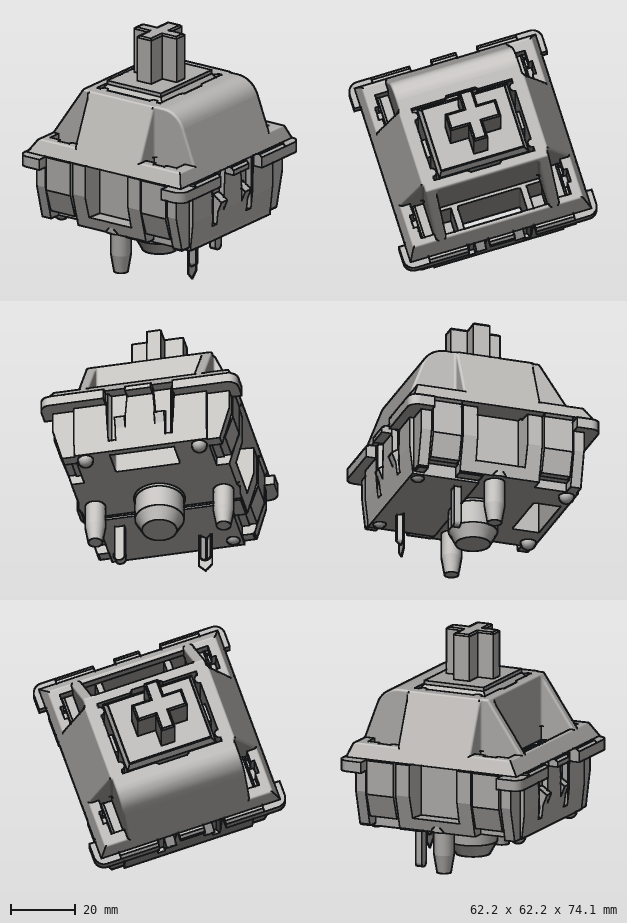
import cadquery as cq


BASE_RIM_Z = 21.05
PARTING_Z = 21.8
LEDGE_Z = 26.2
HOUSING_TOP_Z = 42.6
STEM_TOP_Z = 59.2
OVERALL_HEIGHT = 74.1
OVERALL_WIDTH = 62.2
CONTACT_TIP_Z = STEM_TOP_Z - OVERALL_HEIGHT

HOUSING_HALF = 29.2
TOP_LEFT_X = -14.8
TOP_RIGHT_X = 21.35
RIGHT_ROUND_R = 8.0
HALF_TOP_Y = 20.15
WALL_X = 12.45
WALL_Y = 19.9
POCKET_CORNER_R = 0.8
RIM_R = 0.75
LEFT_POCKET_X = (-25.05, -15.2)
LEFT_POCKET_HALF_Y = 16.6
CLIP_HOLE_X = 24.0
CLIP_HOLE_Y = 24.2
STEM_HOLE_HALF = (12.0, 16.15)
STEM_NOTCH_HALF = (12.8, 5.3)
STEM_NOTCH_CHAMFER = 0.75
GUIDE_RIB_X = 9.4
GUIDE_RIB_R = 1.3
ROOF = 2.2
ROOM_RIGHT_X = 17.8

ARM_X = (13.5, 22.7)
ARM_MID_X = (ARM_X[0] + ARM_X[1]) / 2
ARM_OUTER_Y = 28.2
ARM_FOOT_Y = 25.7
ARM_BEND_Z = 10.4
ARM_FOOT_Z = 3.0
SLOT_X = (12.9, 23.2)
SLOT_Y = 23.35
HOOK_WIDTH = 3.55
HOOK_Y = 25.05
HOOK_Z = (13.35, 20.0)
HOOK_GAP = 0.3

SIDE_X = 27.9
SIDE_FOOT_X = 27.0
SIDE_BEND_Z = 7.9
SIDE_HALF_Y = 20.9
END_Y = 27.9
END_FOOT_Y = 24.9
END_BEND_Z = 11.05
END_HALF_X = 26.5
RIM_CHAMFER = 0.7
FLANGE_HALF = OVERALL_WIDTH / 2
FLANGE_Z = 17.65
FLANGE_CORNER_R = 3.2
FLANGE_CORNER_X = 23.2
STRIP_Y = 10.9
STRIP_TOP_X = 30.2
MIDDLE_STRIP_HALF_Y = 4.0
MIDDLE_STRIP_Z = 19.5
RECESS_DEPTH = 1.85
TONGUE_TOP_Y = 3.9
TONGUE_FOOT_Y = 5.0
SIDE_SLOT_Y = 10.15
SIDE_SLOT_BACK_Y = 9.35
STEP_FOOT_Y = 10.3
STEP_DEPTH = 0.3
SIDE_SLOT_Z = 3.85
SNAP_Y = (4.7, 7.8)
SNAP_TIP_X = 29.2
SNAP_TOP_Z = 13.35
SNAP_TIP_Z = 11.2
END_RECESS_HALF_X = 8.15
END_RECESS_BACK_HALF_X = 7.55
END_RECESS_Y = 20.9
WINDOW_HALF_Y = 10.15
WINDOW_R = 0.7
WELL_X_END = -16.3
WELL_Y = (12.15, 17.2)
WELL_Z = 7.4
ROOM_X = (-14.8, 23.7)
ROOM_HALF_Y = 17.8
FLOOR_Z = 4.45
SLAB_LEFT_X = 5.4
SLAB_DROP = 1.25
SHEET_DROP = 0.45
SHEET_HALF_Y = 24.75
SHEET_CHAMFER = 0.4
POST_DIAMETER = 15.1
POST_TIP_DIAMETER = 10.7
POST_FLARE = 0.4
POST_SHOULDER_Z = -8.0
POST_END_Z = -12.1
PEG_Y = 20.2
PEG_DIAMETER = 6.4
PEG_TIP_DIAMETER = 4.4
PEG_SHOULDER_Z = -7.8
PEG_END_Z = -13.65
PEG_BOSS_DIAMETER = 10.4
PEG_BOSS_HEIGHT = 3.0
FOOT_XY = (24.25, 17.9)
FOOT_DIAMETER = 4.8

CROSS_SPAN = 16.15
CROSS_X_ARM = 4.4
CROSS_Y_ARM = 5.4
CROSS_CHAMFER = 0.5
PLATE_HALF = (10.15, 13.35)
PLATE_Z = (43.35, 44.55)
SHOULDER_HALF = (11.5, 14.45)
SHOULDER_Z = 41.7
STEM_BOTTOM_Z = 14.8
RAIL_HALF_X = 2.9
RAIL_Y = 15.85
RAIL_TOP_Z = 37.05

ROUND_CONTACT_X = (9.55, 11.7)
ROUND_CONTACT_Y = (13.2, 16.3)
ROUND_CONTACT_END_Z = -14.15
ROUND_CONTACT_R = 1.4
BLADE_X = (19.65, 19.95)
BLADE_Y = -10.15
BLADE_WIDTH = 4.2
BLADE_POINT_HEIGHT = 2.2
CHANNEL_STEPS = [(0, 1.55), (0.8, 0.8), (1.55, 0.2)]
RIDGE_STEPS = [(0, 1.85), (1.1, 1.1), (1.85, 0.5)]
CHANNEL_END_Z = -9.2

TOLERANCE = 0.001
MARGIN = 0.75
SIGNS = (-1, 1)
CORNERS = [(sx, sy) for sx in SIGNS for sy in SIGNS]


def block(x, y, z):
    """Box between two limits on each axis, given in either order."""
    size = [abs(b - a) for a, b in (x, y, z)]
    low = [min(limits) for limits in (x, y, z)]
    return cq.Workplane("XY").box(*size, centered=False).translate(tuple(low))


def corner_block(sx, sy, x, y, z):
    """Block with X and Y limits mirrored into the corner chosen by the two signs."""
    return block((sx * x[0], sx * x[1]), (sy * y[0], sy * y[1]), z)


def along_y(points, y_start, y_end):
    """XZ outline extruded from y_start to y_end."""
    start = cq.Workplane("XZ", origin=(0, y_start, 0))
    return start.polyline(points).close().extrude(y_start - y_end)


def along_x(points, x_start, x_end):
    """YZ outline extruded from x_start to x_end."""
    start = cq.Workplane("YZ", origin=(x_start, 0, 0))
    return start.polyline(points).close().extrude(x_end - x_start)


def housing_shell():
    """Sloped outer block with its rounded right shoulder."""
    front_outline = [
        (-HOUSING_HALF, PARTING_Z),
        (HOUSING_HALF, PARTING_Z),
        (TOP_RIGHT_X, HOUSING_TOP_Z),
        (TOP_LEFT_X, HOUSING_TOP_Z),
    ]
    side_outline = [
        (-HOUSING_HALF, PARTING_Z),
        (HOUSING_HALF, PARTING_Z),
        (HALF_TOP_Y, HOUSING_TOP_Z),
        (-HALF_TOP_Y, HOUSING_TOP_Z),
    ]
    body = along_y(front_outline, -HOUSING_HALF, HOUSING_HALF)
    body = body.edges("|Y and >Z").edges(">X").fillet(RIGHT_ROUND_R)
    return body.intersect(along_x(side_outline, -HOUSING_HALF, HOUSING_HALF))


def corner_pocket(sx, sy):
    beyond = HOUSING_HALF + MARGIN
    pocket = corner_block(sx, sy, (WALL_X, beyond), (WALL_Y, beyond), (LEDGE_Z, HOUSING_TOP_Z + MARGIN))
    middle_z = (LEDGE_Z + HOUSING_TOP_Z) / 2
    inner_edge = cq.selectors.NearestToPointSelector((sx * WALL_X, sy * WALL_Y, middle_z))
    return pocket.edges(inner_edge).fillet(POCKET_CORNER_R)


def left_pocket():
    half_y = (-LEFT_POCKET_HALF_Y, LEFT_POCKET_HALF_Y)
    upper = block((-HOUSING_HALF - MARGIN, LEFT_POCKET_X[1]), half_y, (LEDGE_Z, HOUSING_TOP_Z + MARGIN))
    upper = upper.edges("|Z and >X").fillet(POCKET_CORNER_R)
    through = block(LEFT_POCKET_X, half_y, (PARTING_Z, LEDGE_Z))
    return upper.union(through)


def stem_hole():
    half_x, half_y = STEM_HOLE_HALF
    notch_x, notch_y = STEM_NOTCH_HALF
    height = HOUSING_TOP_Z - PARTING_Z
    hole = cq.Workplane("XY", origin=(0, 0, PARTING_Z)).rect(2 * half_x, 2 * half_y).extrude(height)
    notch = cq.Workplane("XY", origin=(0, 0, PARTING_Z)).rect(2 * notch_x, 2 * notch_y).extrude(height)
    return hole.union(notch.edges("|Z").chamfer(STEM_NOTCH_CHAMFER))


def guide_ribs():
    """Half-round ribs on the end walls of the stem hole."""
    half_y = STEM_HOLE_HALF[1]
    centres = [(sx * GUIDE_RIB_X, sy * half_y) for sx, sy in CORNERS]
    floor = cq.Workplane("XY", origin=(0, 0, PARTING_Z))
    return floor.pushPoints(centres).circle(GUIDE_RIB_R).extrude(HOUSING_TOP_Z - PARTING_Z)


def clip_arm(sx, sy):
    outline = [
        (sy * HOUSING_HALF, PARTING_Z),
        (sy * ARM_OUTER_Y, BASE_RIM_Z),
        (sy * ARM_OUTER_Y, ARM_BEND_Z),
        (sy * ARM_FOOT_Y, ARM_FOOT_Z),
        (sy * SLOT_Y, ARM_FOOT_Z),
        (sy * SLOT_Y, BASE_RIM_Z),
        (sy * CLIP_HOLE_Y, BASE_RIM_Z),
        (sy * CLIP_HOLE_Y, PARTING_Z),
    ]
    return along_x(outline, sx * ARM_X[0], sx * ARM_X[1])


def hook_keyway(sx, sy):
    """Groove down the inside of an arm, with room for the hook of the base."""
    half = HOOK_WIDTH / 2 + HOOK_GAP
    x = (ARM_MID_X - half, ARM_MID_X + half)
    return corner_block(sx, sy, x, (SLOT_Y, HOOK_Y + HOOK_GAP), (HOOK_Z[0], LEDGE_Z))


def rounded_rims(body):
    """Round every edge the pockets leave on the outer skin, but not the hips or the shoulder seams."""
    skin = housing_shell().val().Shells()[0]
    rims = []
    for edge in body.edges().vals():
        box = edge.BoundingBox()
        middle = cq.Vertex.makeVertex(*edge.positionAt(0.5).toTuple())
        above_ledge = box.zmin > LEDGE_Z - TOLERANCE
        shoulder_seam = box.xmin > WALL_X and box.ylen > WALL_Y
        if above_ledge and not shoulder_seam and skin.distance(middle) < TOLERANCE:
            rims.append(edge)
    return cq.Workplane(body.val().fillet(RIM_R, rims))


def make_top_housing():
    body = housing_shell()
    for sx, sy in CORNERS:
        body = body.cut(corner_pocket(sx, sy))
    body = body.cut(left_pocket())
    body = rounded_rims(body)
    body = body.cut(stem_hole())
    room_y = STEM_HOLE_HALF[1]
    room_z = (PARTING_Z, HOUSING_TOP_Z - ROOF)
    body = body.cut(block((0, ROOM_RIGHT_X), (-room_y, room_y), room_z))
    body = body.union(guide_ribs())
    for sx, sy in CORNERS:
        hole_x = (WALL_X, CLIP_HOLE_X)
        hole_y = (WALL_Y, CLIP_HOLE_Y)
        body = body.cut(corner_block(sx, sy, hole_x, hole_y, (PARTING_Z, LEDGE_Z)))
        body = body.union(clip_arm(sx, sy)).cut(hook_keyway(sx, sy))
    return body


def base_walls():
    """Side walls and end blocks, each tapering towards the bottom, under a raised chamfered deck."""
    side_outline = [(-SIDE_X, BASE_RIM_Z), (-SIDE_X, SIDE_BEND_Z), (-SIDE_FOOT_X, 0)]
    side_outline += [(-x, z) for x, z in reversed(side_outline)]
    end_outline = [(-END_Y, BASE_RIM_Z), (-END_Y, END_BEND_Z), (-END_FOOT_Y, 0)]
    end_outline += [(-y, z) for y, z in reversed(end_outline)]
    sides = along_y(side_outline, -SIDE_HALF_Y, SIDE_HALF_Y)
    ends = along_x(end_outline, -END_HALF_X, END_HALF_X)
    deck = block((-SIDE_X, SIDE_X), (-SLOT_Y, SLOT_Y), (BASE_RIM_Z, PARTING_Z))
    return sides.union(ends).union(deck.edges(">Z and |X").chamfer(RIM_CHAMFER))


def corner_flange(sx, sy):
    height = (FLANGE_Z, BASE_RIM_Z)
    plate = corner_block(sx, sy, (FLANGE_CORNER_X, FLANGE_HALF), (STRIP_Y, FLANGE_HALF), height)
    middle_z = (FLANGE_Z + BASE_RIM_Z) / 2
    outer_edge = cq.selectors.NearestToPointSelector((sx * FLANGE_HALF, sy * FLANGE_HALF, middle_z))
    plate = plate.edges(outer_edge).fillet(FLANGE_CORNER_R)
    inner_room = corner_block(sx, sy, (0, SIDE_X - RECESS_DEPTH), (0, SLOT_Y), height)
    return plate.cut(inner_room)


def flange_strip(sx, bottom_z, y_start, y_end):
    """Stretch of side flange raised to the parting plane, with a sloped outer edge."""
    outline = [
        (sx * END_HALF_X, bottom_z),
        (sx * FLANGE_HALF, bottom_z),
        (sx * FLANGE_HALF, BASE_RIM_Z),
        (sx * STRIP_TOP_X, PARTING_Z),
        (sx * END_HALF_X, PARTING_Z),
    ]
    return along_y(outline, y_start, y_end)


def side_recess(sx, sy):
    """Snap pocket beside the middle tongue, a lower slot with a drafted wall, and a shallow outer step."""
    back_x = sx * (SIDE_X - RECESS_DEPTH)
    front_x = sx * (SIDE_X + MARGIN)
    split_y = sy * SNAP_Y[1]
    pocket_outline = [
        (sy * TONGUE_TOP_Y, PARTING_Z),
        (split_y, PARTING_Z),
        (split_y, SIDE_BEND_Z),
        (sy * TONGUE_FOOT_Y, SIDE_BEND_Z),
    ]
    step_outline = [
        (split_y, PARTING_Z),
        (sy * STRIP_Y, PARTING_Z),
        (sy * STEP_FOOT_Y, SIDE_BEND_Z),
        (split_y, SIDE_BEND_Z),
    ]
    slot_outline = [
        (back_x, split_y),
        (front_x, split_y),
        (front_x, sy * SIDE_SLOT_Y),
        (sx * (SIDE_X - STEP_DEPTH), sy * SIDE_SLOT_Y),
        (back_x, sy * SIDE_SLOT_BACK_Y),
    ]
    pocket = along_x(pocket_outline, back_x, front_x)
    step = along_x(step_outline, sx * (SIDE_X - STEP_DEPTH), front_x)
    slot = cq.Workplane("XY", origin=(0, 0, SIDE_SLOT_Z)).polyline(slot_outline).close()
    return pocket.union(step).union(slot.extrude(PARTING_Z - SIDE_SLOT_Z))


def side_snap(sx, sy):
    back_x = SIDE_X - RECESS_DEPTH
    outline = [
        (sx * back_x, SIDE_BEND_Z),
        (sx * SIDE_X, SIDE_BEND_Z),
        (sx * SNAP_TIP_X, SNAP_TIP_Z),
        (sx * back_x, SNAP_TOP_Z),
    ]
    return along_y(outline, sy * SNAP_Y[0], sy * SNAP_Y[1])


def end_recess(sy):
    """Deep recess in the middle of an end wall, slightly narrower at the back."""
    outline = [
        (-END_RECESS_HALF_X, sy * END_Y),
        (END_RECESS_HALF_X, sy * END_Y),
        (END_RECESS_BACK_HALF_X, sy * END_RECESS_Y),
        (-END_RECESS_BACK_HALF_X, sy * END_RECESS_Y),
    ]
    floor = cq.Workplane("XY", origin=(0, 0, SIDE_SLOT_Z))
    return floor.polyline(outline).close().extrude(PARTING_Z - SIDE_SLOT_Z)


def turned(profile):
    """Revolve an (r, z) outline about the Z axis."""
    return cq.Workplane("XZ").polyline(profile).close().revolve(360, (0, 0, 0), (0, 1, 0))


def centre_post():
    radius = POST_DIAMETER / 2
    profile = [
        (0, FLOOR_Z),
        (radius + POST_FLARE, FLOOR_Z),
        (radius + POST_FLARE, 0),
        (radius, -2 * POST_FLARE),
        (radius, POST_SHOULDER_Z),
        (POST_TIP_DIAMETER / 2, POST_END_Z),
        (0, POST_END_Z),
    ]
    return turned(profile)


def locating_peg(sy):
    """Tapered peg on a wider boss; the boss bulges out of the sloped end wall."""
    profile = [
        (0, PEG_BOSS_HEIGHT),
        (PEG_BOSS_DIAMETER / 2, PEG_BOSS_HEIGHT),
        (PEG_BOSS_DIAMETER / 2, 0),
        (PEG_DIAMETER / 2, 0),
        (PEG_DIAMETER / 2, PEG_SHOULDER_Z),
        (PEG_TIP_DIAMETER / 2, PEG_END_Z),
        (0, PEG_END_Z),
    ]
    return turned(profile).translate((0, sy * PEG_Y, 0))


def left_openings():
    """Window through the base, with a blind well on either side of it."""
    x = (LEFT_POCKET_X[0], WELL_X_END)
    window = block(x, (-WINDOW_HALF_Y, WINDOW_HALF_Y), (0, PARTING_Z))
    openings = window.edges("|Z and >X").fillet(WINDOW_R)
    for sy in SIGNS:
        openings = openings.union(block(x, (sy * WELL_Y[0], sy * WELL_Y[1]), (WELL_Z, PARTING_Z)))
    return openings


def make_base():
    body = base_walls()
    sheet_y = (-SHEET_HALF_Y, SHEET_HALF_Y)
    sheet = block((SLAB_LEFT_X - SHEET_CHAMFER, END_HALF_X), sheet_y, (-SHEET_DROP, 0))
    body = body.union(sheet.edges("<Z").chamfer(SHEET_CHAMFER))
    for sx, sy in CORNERS:
        body = body.union(corner_flange(sx, sy))
        body = body.union(flange_strip(sx, FLANGE_Z, sy * STRIP_Y, sy * SLOT_Y))
        body = body.cut(side_recess(sx, sy)).union(side_snap(sx, sy))
        slot_y = (SLOT_Y, FLANGE_HALF + MARGIN)
        body = body.cut(corner_block(sx, sy, SLOT_X, slot_y, (-SHEET_DROP, PARTING_Z)))
        relief_y = (SIDE_HALF_Y, SLOT_Y)
        body = body.cut(corner_block(sx, sy, SLOT_X, relief_y, (-SHEET_DROP, ARM_FOOT_Z)))
        hook_x = (ARM_MID_X - HOOK_WIDTH / 2, ARM_MID_X + HOOK_WIDTH / 2)
        body = body.union(corner_block(sx, sy, hook_x, (SLOT_Y, HOOK_Y), HOOK_Z))
    for sx in SIGNS:
        body = body.union(flange_strip(sx, MIDDLE_STRIP_Z, -MIDDLE_STRIP_HALF_Y, MIDDLE_STRIP_HALF_Y))
    slab_y = (-SIDE_HALF_Y, SIDE_HALF_Y)
    body = body.union(block((SLAB_LEFT_X, SIDE_FOOT_X), slab_y, (-SLAB_DROP, 0)))
    for sy in SIGNS:
        body = body.cut(end_recess(sy)).union(locating_peg(sy))
    for sx, sy in CORNERS:
        foot = cq.Workplane("XY").sphere(FOOT_DIAMETER / 2, angle1=-90, angle2=0)
        body = body.union(foot.translate((sx * FOOT_XY[0], sy * FOOT_XY[1], 0)))
    body = body.union(centre_post()).cut(left_openings())
    return body.cut(block(ROOM_X, (-ROOM_HALF_Y, ROOM_HALF_Y), (FLOOR_Z, PARTING_Z)))


def make_stem():
    half_x, half_y = PLATE_HALF
    wide_x, wide_y = SHOULDER_HALF
    plate = block((-half_x, half_x), (-half_y, half_y), PLATE_Z)
    shoulder = (
        cq.Workplane("XY", origin=(0, 0, SHOULDER_Z))
        .rect(2 * wide_x, 2 * wide_y)
        .workplane(offset=PLATE_Z[0] - SHOULDER_Z)
        .rect(2 * half_x, 2 * half_y)
        .loft()
    )
    skirt = block((-wide_x, wide_x), (-wide_y, wide_y), (STEM_BOTTOM_Z, SHOULDER_Z))
    rails = block((-RAIL_HALF_X, RAIL_HALF_X), (-RAIL_Y, RAIL_Y), (STEM_BOTTOM_Z, RAIL_TOP_Z))
    cross_foot = cq.Workplane("XY", origin=(0, 0, PLATE_Z[1]))
    cross_height = STEM_TOP_Z - PLATE_Z[1]
    cross = cross_foot.rect(CROSS_SPAN, CROSS_X_ARM).extrude(cross_height)
    cross = cross.union(cross_foot.rect(CROSS_Y_ARM, CROSS_SPAN).extrude(cross_height))
    cross = cross.faces(">Z").chamfer(CROSS_CHAMFER)
    return skirt.union(shoulder).union(plate).union(rails).union(cross)


def make_round_contact():
    """Flat pin with a rounded end."""
    pin = block(ROUND_CONTACT_X, ROUND_CONTACT_Y, (ROUND_CONTACT_END_Z, FLOOR_Z))
    return pin.edges("|X and <Z").fillet(ROUND_CONTACT_R)


def channel_solid(steps):
    """Tapering channel reaching right from the blade's left face, turned round its lower end."""
    half = steps + [(steps[-1][0], 0)]
    mirrored = [(depth, -width) for depth, width in reversed(steps)]
    end = cq.Workplane("XY", origin=(BLADE_X[0], BLADE_Y, CHANNEL_END_Z))
    straight = end.polyline(steps + mirrored).close().extrude(FLOOR_Z - CHANNEL_END_Z)
    tip = end.polyline([(0, 0)] + half).close().revolve(360, (0, 0, 0), (1, 0, 0))
    return straight.union(tip)


def make_blade_contact():
    """Thin pointed blade with a tapering channel pressed into it."""
    half = BLADE_WIDTH / 2
    outline = [
        (BLADE_Y - half, FLOOR_Z),
        (BLADE_Y - half, CONTACT_TIP_Z + BLADE_POINT_HEIGHT),
        (BLADE_Y, CONTACT_TIP_Z),
        (BLADE_Y + half, CONTACT_TIP_Z + BLADE_POINT_HEIGHT),
        (BLADE_Y + half, FLOOR_Z),
    ]
    blade = along_x(outline, *BLADE_X)
    return blade.union(channel_solid(RIDGE_STEPS)).cut(channel_solid(CHANNEL_STEPS))


top_housing = make_top_housing()
stem = make_stem()
round_contact = make_round_contact()
blade_contact = make_blade_contact()
base = make_base().cut(round_contact).cut(blade_contact)

result = cq.Compound.makeCompound(
    [
        top_housing.val(),
        base.val(),
        stem.val(),
        round_contact.val(),
        blade_contact.val(),
    ]
)